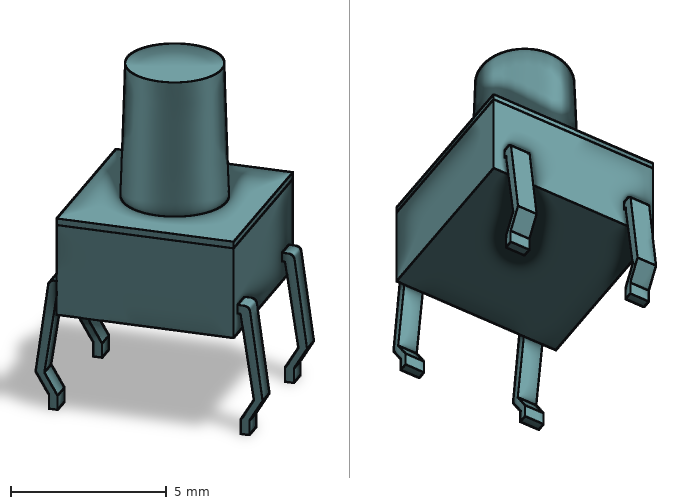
import cadquery as cq


body_width = 6.0
body_height = 3.37
cover_thickness = 0.23
housing_height = body_height - cover_thickness

button_top = 8.0
button_base_radius = 1.75
button_top_radius = 1.6
button_height = button_top - body_height

leg_thickness = 0.3
leg_width = 0.7
leg_spacing = 4.5
leg_top = 1.0
shoulder_x = 3.4
elbow_x = 3.85
elbow_z = -2.25
foot_x = 3.4
foot_top = -3.0
foot_bottom = -3.5
outer_bend_radius = 0.2
inner_bend_radius = 0.05


def make_leg():
    """One leg on the +X side, centred on Y = 0, with its root on the housing wall."""
    wall_x = body_width / 2
    leg_underside = leg_top - leg_thickness
    outline = [
        (wall_x, leg_top),
        (shoulder_x, leg_top),
        (elbow_x, elbow_z),
        (foot_x, foot_top),
        (foot_x, foot_bottom),
        (foot_x - leg_thickness, foot_bottom),
        (foot_x - leg_thickness, foot_top),
        (elbow_x - leg_thickness, elbow_z),
        (shoulder_x - leg_thickness, leg_underside),
        (wall_x, leg_underside),
    ]
    leg = cq.Workplane("XZ").polyline(outline).close().extrude(leg_width / 2, both=True)
    leg = leg.edges(cq.NearestToPointSelector((shoulder_x, 0, leg_top))).fillet(outer_bend_radius)
    inner_corner = (shoulder_x - leg_thickness, 0, leg_underside)
    return leg.edges(cq.NearestToPointSelector(inner_corner)).fillet(inner_bend_radius)


def make_housing():
    """Square housing with two legs on each of its -X and +X walls."""
    housing = cq.Workplane("XY").box(
        body_width, body_width, housing_height, centered=(True, True, False)
    )
    right_leg = make_leg()
    left_leg = right_leg.mirror("YZ")
    for leg_y in (-leg_spacing / 2, leg_spacing / 2):
        for leg in (left_leg, right_leg):
            housing = housing.union(leg.translate((0, leg_y, 0)))
    return housing


def make_cover():
    """Thin square plate lying on the housing."""
    return (
        cq.Workplane("XY")
        .workplane(offset=housing_height)
        .rect(body_width, body_width)
        .extrude(cover_thickness)
    )


def make_button():
    """Round button standing on the cover, narrowing towards its top."""
    return (
        cq.Workplane("XY")
        .workplane(offset=body_height)
        .circle(button_base_radius)
        .workplane(offset=button_height)
        .circle(button_top_radius)
        .loft(ruled=True)
    )


housing = make_housing()
cover = make_cover()
button = make_button()

result = cq.Compound.makeCompound([housing.val(), cover.val(), button.val()])